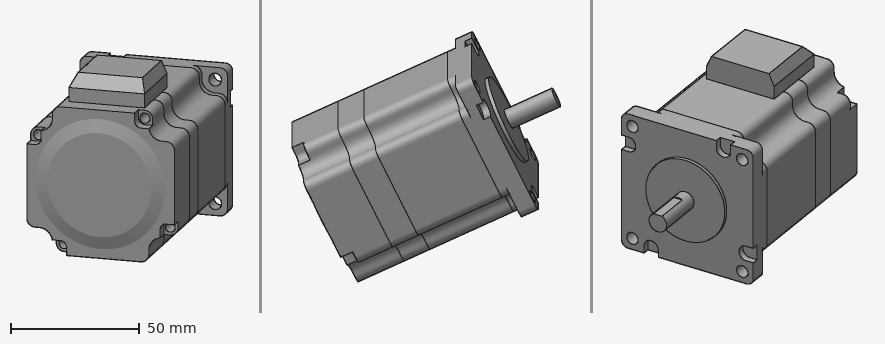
import cadquery as cq
import math


width = 60.0
half_width = width / 2
plate_corner_radius = 3.0
bolt_spacing = 50.0
bolt_hole_diameter = 5.2
relief_size = 10.4
relief_edge_radius = 3.3
bolt_edge_distance = half_width - bolt_spacing / 2
relief_inner_radius = relief_size - bolt_edge_distance

plate_depth = 7.1
flange_depth = 10.4
stator_depth = 46.5
spacer_depth = 57.6
rear_depth = 77.5

pilot_diameter = 36.0
pilot_height = 1.5
shaft_diameter = 8.0
shaft_reach = 22.0
flat_length = 15.0
flat_cut = 0.5

boss_base_diameter = 52.5
boss_top_diameter = 42.0
boss_height = 1.5

screw_edge_distance = 3.2
screw_offset = 16.5
screw_hole_diameter = 4.0
pocket_corner_radius = 2.6
pocket_depth = 5.0
notch_depth = 2.9

box_width = 30.8
box_top_width = 26.2
box_front_depth = 39.5
box_rear_depth = 69.4
box_height = 10.7
box_wall_height = 5.7
box_rear_slope = 4.8

QUARTER_TURNS = (0, 90, 180, 270)


def section_plane(depth):
    """Plane across the motor axis at a depth behind the mounting face; extrudes to -Y."""
    return cq.Workplane("XZ").workplane(offset=depth)


def at_four_sides(shape):
    """The same shape repeated by quarter turns about the motor axis."""
    copies = cq.Workplane("XZ")
    for angle in QUARTER_TURNS:
        copies = copies.add(shape.rotate((0, 0, 0), (0, 1, 0), angle))
    return copies.combine()


def relieved_outline(plane):
    """Square outline whose corners step inward around the mounting bolts."""
    diagonal = math.sqrt(0.5)
    wall = half_width - relief_size
    blend = half_width - relief_edge_radius
    bolt = bolt_spacing / 2
    convex_near = wall - relief_edge_radius * (1 - diagonal)
    convex_far = half_width - relief_edge_radius * (1 - diagonal)
    concave = bolt - relief_inner_radius * diagonal

    corner_arcs = [
        ((half_width, wall - relief_edge_radius), (convex_far, convex_near), (blend, wall)),
        ((bolt, wall), (concave, concave), (wall, bolt)),
        ((wall, blend), (convex_near, convex_far), (wall - relief_edge_radius, half_width)),
    ]

    def turned(point, angle):
        c = round(math.cos(math.radians(angle)))
        s = round(math.sin(math.radians(angle)))
        return (c * point[0] - s * point[1], s * point[0] + c * point[1])

    last_corner_end = turned(corner_arcs[-1][-1], QUARTER_TURNS[-1])
    outline = plane.moveTo(*last_corner_end)
    for angle in QUARTER_TURNS:
        for arc in corner_arcs:
            start, middle, end = [turned(point, angle) for point in arc]
            outline = outline.lineTo(*start).threePointArc(middle, end)
    return outline.close()


def case_section(start_depth, end_depth):
    """Solid stretch of the relieved case between two depths."""
    return relieved_outline(section_plane(start_depth)).extrude(end_depth - start_depth)


def front_notches():
    """Round-ended notches in the edge of the mounting face."""
    centre_height = half_width - screw_edge_distance
    plane = section_plane(0)
    round_end = plane.center(-screw_offset, centre_height).circle(screw_edge_distance).extrude(notch_depth)
    mouth = (
        plane.center(-screw_offset, centre_height + screw_edge_distance / 2)
        .rect(2 * screw_edge_distance, screw_edge_distance)
        .extrude(notch_depth)
    )
    return at_four_sides(round_end.union(mouth))


def make_shaft():
    """Output shaft with a flat along its free end."""
    shaft = section_plane(-shaft_reach).circle(shaft_diameter / 2).extrude(shaft_reach)
    flat = (
        section_plane(-shaft_reach)
        .center(0, shaft_diameter - flat_cut)
        .rect(shaft_diameter, shaft_diameter)
        .extrude(flat_length)
    )
    return shaft.cut(flat)


def make_flange():
    """Mounting plate with its pilot, the output shaft and a short stretch of case behind."""
    plate = section_plane(0).rect(width, width).extrude(plate_depth).edges("|Y").fillet(plate_corner_radius)
    bolt_holes = (
        section_plane(0)
        .rect(bolt_spacing, bolt_spacing, forConstruction=True)
        .vertices()
        .circle(bolt_hole_diameter / 2)
        .extrude(plate_depth)
    )
    pilot = section_plane(-pilot_height).circle(pilot_diameter / 2).extrude(pilot_height)
    body = plate.cut(bolt_holes).cut(front_notches())
    return body.union(case_section(plate_depth, flange_depth)).union(pilot).union(make_shaft())


def screw_pockets():
    """Corner pockets beside the reliefs at the rear face, each with a screw hole below."""
    pocket_size = screw_edge_distance + pocket_corner_radius
    hole_height = half_width - screw_edge_distance
    floor_depth = rear_depth - pocket_depth
    pocket = (
        section_plane(floor_depth)
        .center(screw_offset - pocket_corner_radius + pocket_size / 2, half_width - pocket_size / 2)
        .rect(pocket_size, pocket_size)
        .extrude(pocket_depth)
        .edges("|Y and <X and <Z")
        .fillet(pocket_corner_radius)
    )
    hole = (
        section_plane(spacer_depth)
        .center(screw_offset, hole_height)
        .circle(screw_hole_diameter / 2)
        .extrude(floor_depth - spacer_depth)
    )
    return at_four_sides(pocket.union(hole))


def make_rear_cover():
    """Rear case section with a shallow conical boss and pockets for the case screws."""
    boss = (
        section_plane(rear_depth)
        .circle(boss_base_diameter / 2)
        .workplane(offset=boss_height)
        .circle(boss_top_diameter / 2)
        .loft()
    )
    return case_section(spacer_depth, rear_depth).cut(screw_pockets()).union(boss)


def make_cable_box():
    """Box across the case joints, sloped on both sides and at the rear."""
    half_box = box_width / 2
    half_top = box_top_width / 2
    base = half_width
    shoulder = base + box_wall_height
    top = base + box_height
    across = (
        section_plane(box_front_depth)
        .polyline([
            (-half_box, base),
            (half_box, base),
            (half_box, shoulder),
            (half_top, top),
            (-half_top, top),
            (-half_box, shoulder),
        ])
        .close()
        .extrude(box_rear_depth - box_front_depth)
    )
    rear_wedge = (
        cq.Workplane("YZ")
        .polyline([
            (-box_rear_depth, shoulder),
            (-box_rear_depth, top),
            (-box_rear_depth + box_rear_slope, top),
        ])
        .close()
        .extrude(half_box, both=True)
    )
    return across.cut(rear_wedge)


flange = make_flange()
stator = case_section(flange_depth, stator_depth)
spacer = case_section(stator_depth, spacer_depth)
rear_cover = make_rear_cover()
cable_box = make_cable_box()

result = cq.Compound.makeCompound([
    flange.solids().val(),
    stator.solids().val(),
    spacer.solids().val(),
    rear_cover.solids().val(),
    cable_box.solids().val(),
])